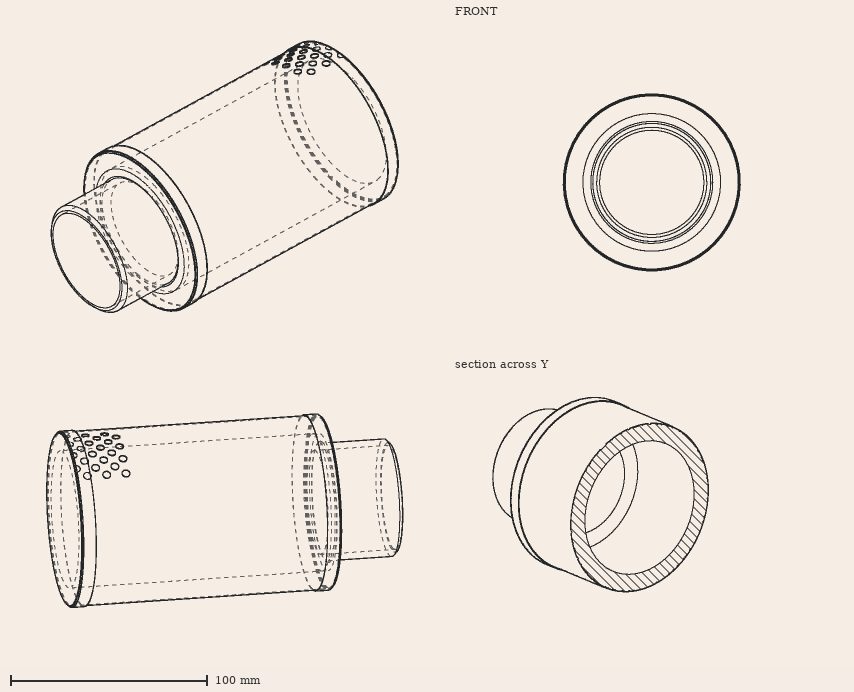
import cadquery as cq


total_length = 170.0
cap_radius = 45.0
sheet = 0.5
cap_chamfer = 1.0
cap_inner_chamfer = 0.5
cap_depth = 7.5

connector_length = 35.0
connector_radius = 30.0
connector_bore_radius = 26.5
connector_chamfer = 2.0
flange_radius = 35.0
flange_thickness = 3.0
cap_hole_countersink = 1.0

hole_radius = 2.0
hole_row_pitch = 5.0
hole_row_count = 6
hole_column_angle = 12.0
holes_per_row = 4

inside_start = connector_length + sheet
inside_end = total_length - sheet
inside_length = inside_end - inside_start
tube_start = inside_start + cap_inner_chamfer
tube_end = inside_end - cap_inner_chamfer
tube_radius = cap_radius - sheet
tube_bore_radius = tube_radius - sheet


def cylinder(radius, start, length):
    """Solid cylinder on the Y axis, from Y = start towards +Y."""
    plane = cq.Plane(origin=(0, start, 0), xDir=(0, 0, 1), normal=(0, 1, 0))
    return cq.Workplane(plane).circle(radius).extrude(length)


def ring(outer_radius, inner_radius, start, length):
    """Hollow cylinder on the Y axis, from Y = start towards +Y."""
    return cylinder(outer_radius, start, length).cut(cylinder(inner_radius, start, length))


def make_dish(start, closed_side):
    """Chamfered sheet cap; closed_side is the face selector of its flat end."""
    outside = cylinder(cap_radius, start, cap_depth)
    outside = outside.faces(closed_side).edges().chamfer(cap_chamfer)
    cavity_start = start + sheet if closed_side == "<Y" else start
    cavity = cylinder(tube_radius, cavity_start, cap_depth - sheet)
    cavity = cavity.faces(closed_side).edges().chamfer(cap_inner_chamfer)
    return outside.cut(cavity)


def make_rear_cap():
    """Closed cap over the far end of the tube."""
    return make_dish(total_length - cap_depth, ">Y")


def make_front_cap():
    """Cap over the near end of the tube, with a countersunk hole for the connector."""
    face_y = connector_length
    hole = (
        cq.Workplane("XY")
        .moveTo(0, face_y)
        .lineTo(connector_radius + cap_hole_countersink, face_y)
        .lineTo(connector_radius, inside_start)
        .lineTo(0, inside_start)
        .close()
        .revolve(360, (0, 0, 0), (0, 1, 0))
    )
    return make_dish(face_y, "<Y").cut(hole)


def make_perforated_tube():
    """Thin tube with staggered rows of holes; the tube end cuts the last row in half."""
    tube = ring(tube_radius, tube_bore_radius, tube_start, tube_end - tube_start)
    drill = cq.Workplane("XY").circle(hole_radius).extrude(cap_radius)
    for row in range(hole_row_count):
        row_y = tube_end - row * hole_row_pitch
        shift = 0.5 * (row % 2)
        for column in range(holes_per_row):
            angle = (column + shift) * hole_column_angle
            hole = drill.rotate((0, 0, 0), (0, 1, 0), -angle).translate((0, row_y, 0))
            tube = tube.cut(hole)
    return tube


def make_filter_element():
    """Sleeve lining the perforated tube from cap to cap; its bore takes the connector flange."""
    return ring(tube_bore_radius, flange_radius, inside_start, inside_length)


def make_connector():
    """Chamfered pipe through the front cap, held by a flange behind the cap."""
    inner_end = inside_start + flange_thickness
    pipe = cylinder(connector_radius, 0, inner_end)
    pipe = pipe.faces("<Y").edges().chamfer(connector_chamfer)
    pipe = pipe.union(cylinder(flange_radius, inside_start, flange_thickness))
    return pipe.cut(cylinder(connector_bore_radius, 0, inner_end))


rear_cap = make_rear_cap()
front_cap = make_front_cap()
perforated_tube = make_perforated_tube()
filter_element = make_filter_element()
connector = make_connector()

result = cq.Compound.makeCompound([
    rear_cap.val(),
    front_cap.val(),
    perforated_tube.val(),
    filter_element.val(),
    connector.val(),
])